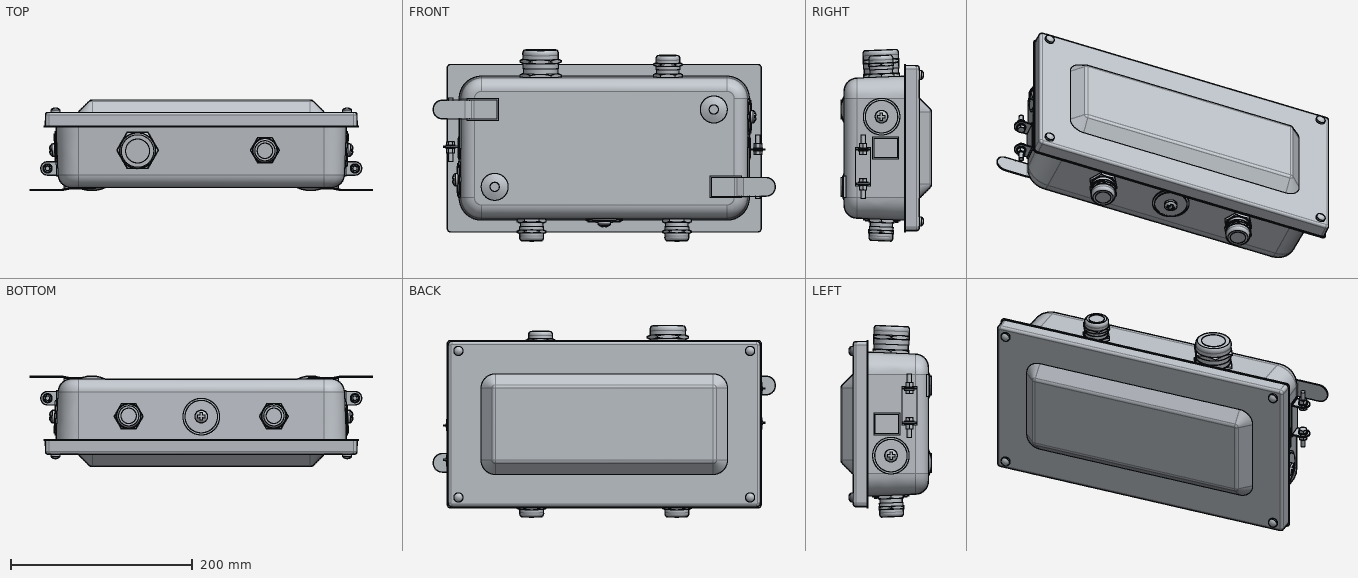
import cadquery as cq
import math

BODY_LENGTH = 319.7
BODY_HEIGHT = 158.7
BODY_DEPTH = 66.7
BODY_CORNER = 25.0
BODY_EDGE = 14.7
DRAFT = 2.3

LIP_LENGTH = 346.0
LIP_HEIGHT = 184.7
LIP_THICKNESS = 1.0
LIP_CORNER = 4.0
LIP_STEP = 1.0
LID_THICKNESS = 16.2
LID_EDGE = 3.0
RIM_DRAFT = 1.0
PANEL_LENGTH = 271.5
PANEL_HEIGHT = 111.0
PANEL_RISE = 13.5
PANEL_CORNER = 16.0
PANEL_SLOPE = 45.0
PANEL_EDGE = 5.3
LID_SCREW_X = 160.5
LID_SCREW_Z = 80.5
LID_SCREW_DIAMETER = 10.0
LID_SCREW_HEIGHT = 5.0
LID_SCREW_SHOULDER = 2.3

FOOT_X = 120.5
FOOT_Z = 42.5
FOOT_DIAMETER = 29.8
FOOT_HEIGHT = 3.5
FOOT_TIP_DIAMETER = 10.0
STRAP_Z = 42.5
STRAP_WIDTH = 20.7
STRAP_THICKNESS = 1.5
STRAP_END = 188.5
STRAP_BEND_OUTER = 153.5
STRAP_BEND_INNER = 144.8
STRAP_BEND_RADIUS = 11.3
STRAP_SET_OFF = 2.0
PAD_X = 134.0
PAD_LENGTH = 34.5
PAD_WIDTH = 23.8
PAD_THICKNESS = 0.8
PAD_SINK = 3.0

PORT_DEPTH = 25.3
BIG_GLAND_X = -70.0
SMALL_GLAND_X = 70.0
BOTTOM_GLAND_X = 80.0
GLAND_MOUTH_DEPTH = 0.5
BIG_GLAND = {
    "cap": 39.2,
    "neck": 38.0,
    "flats": 39.5,
    "rim": 36.0,
    "mouth": 26.5,
    "base_top": 3.8,
    "neck_top": 9.5,
    "nut_bottom": 15.0,
    "nut_top": 19.5,
    "shoulder": 24.0,
    "top": 29.8,
}
SMALL_GLAND = {
    "cap": 26.5,
    "neck": 25.0,
    "flats": 27.5,
    "rim": 22.2,
    "mouth": 17.0,
    "base_top": 3.8,
    "neck_top": 8.3,
    "nut_bottom": 12.0,
    "nut_top": 15.5,
    "shoulder": 19.0,
    "top": 23.8,
}
DRAIN_X = 0.0
DISC_Z = -34.5
DISC_DIAMETER = 40.5
DISC_STEP_DIAMETER = 36.0
DISC_HEIGHT = 2.5
HUB_DIAMETER = 14.0
HUB_HEIGHT = 6.0
HUB_SHOULDER = 2.5
SLOT_LENGTH = 8.3
SLOT_WIDTH = 3.0
SLOT_DEPTH = 2.0
PLATE_Z = 0.0
PLATE_DEPTH = 20.7
PLATE_ALONG_Y = 28.5
PLATE_ALONG_Z = 24.0
PLATE_STEP = 1.5
PLATE_LAYER = 0.8

BRACKET_DEPTH = 45.5
BRACKET_Z = 20.5
BRACKET_WIDTH = 16.5
BRACKET_LENGTH = 42.2
BRACKET_THICKNESS = 1.5
EAR_REACH = 177.0
EAR_WIDTH = 15.0
EAR_SPAN = 37.7
BOLT_DIAMETER = 5.0
BOLT_HEX = 8.0
BOLT_HEAD_HEIGHT = 3.8
NUT_HEIGHT = 5.0
BOLT_TAIL = 16.2
WASHER_DIAMETER = 10.0
WASHER_THICKNESS = 1.0

EMBED = 1.5
ROUND_MARGIN = 0.05

slope = math.tan(math.radians(DRAFT))
draft_sin = math.sin(math.radians(DRAFT))
draft_cos = math.cos(math.radians(DRAFT))


def half_turn(shape):
    """The same feature turned 180 degrees about the Y axis."""
    return shape.rotate((0, 0, 0), (0, 1, 0), 180)


def revolved(points):
    """Solid of revolution about Z from a closed (radius, height) outline."""
    return cq.Workplane("XZ").polyline(points).close().revolve(360, (0, 0), (0, 1))


def dome(diameter, height, base=0.0):
    """Round stub on Z, straight up to the base height and closed by a spherical cap."""
    radius = diameter / 2
    sphere = (radius**2 + height**2) / (2 * height)
    angle = math.asin(radius / sphere) / 2
    mid = (sphere * math.sin(angle), base + height - sphere * (1 - math.cos(angle)))
    return (
        cq.Workplane("XZ")
        .moveTo(0, -EMBED)
        .lineTo(radius, -EMBED)
        .lineTo(radius, base)
        .threePointArc(mid, (0, base + height))
        .close()
        .revolve(360, (0, 0), (0, 1))
    )


def on_top_wall(shape, x, depth):
    """Stand a feature built on Z upon the drafted top wall."""
    origin = (x, -depth, BODY_HEIGHT / 2 - depth * slope)
    plane = cq.Plane(origin, (1, 0, 0), (0, -draft_sin, draft_cos))
    return cq.Workplane(obj=shape.val().located(cq.Location(plane)))


def on_left_wall(shape, z, depth):
    """Stand a feature built on Z upon the drafted -X wall, its X axis along the part's Z."""
    origin = (-BODY_LENGTH / 2 + depth * slope, -depth, z)
    plane = cq.Plane(origin, (0, 0, 1), (-draft_cos, -draft_sin, 0))
    return cq.Workplane(obj=shape.val().located(cq.Location(plane)))


def on_plane_y(shape, x, y, z, direction):
    """Stand a feature built on Z upon a plane of constant Y, facing +Y or -Y."""
    plane = cq.Plane((x, y, z), (1, 0, 0), (0, direction, 0))
    return cq.Workplane(obj=shape.val().located(cq.Location(plane)))


def rounded_block(length, height, depth, corner, taper):
    """Rounded rectangle extruded along Z with drafted sides."""
    sketch = cq.Sketch().rect(length, height).vertices().fillet(corner)
    return cq.Workplane("XY").placeSketch(sketch).extrude(depth, taper=taper)


def make_body():
    tub = rounded_block(BODY_LENGTH, BODY_HEIGHT, BODY_DEPTH, BODY_CORNER, DRAFT)
    tub = tub.faces(">Z").edges().fillet(BODY_EDGE)
    return on_plane_y(tub, 0, 0, 0, -1)


def make_lid():
    lip = rounded_block(LIP_LENGTH, LIP_HEIGHT, LIP_THICKNESS, LIP_CORNER, 0)
    rim = rounded_block(
        LIP_LENGTH - 2 * LIP_STEP, LIP_HEIGHT - 2 * LIP_STEP, LID_THICKNESS, LIP_CORNER, RIM_DRAFT
    )
    rim = rim.faces(">Z").edges().fillet(LID_EDGE)
    panel = rounded_block(PANEL_LENGTH, PANEL_HEIGHT, PANEL_RISE, PANEL_CORNER, PANEL_SLOPE)
    panel = panel.faces(">Z").edges().fillet(PANEL_EDGE)
    lid = lip.union(rim).union(panel.translate((0, 0, LID_THICKNESS)))
    lid = on_plane_y(lid, 0, 0, 0, 1)
    screw = dome(LID_SCREW_DIAMETER, LID_SCREW_HEIGHT - LID_SCREW_SHOULDER, LID_SCREW_SHOULDER)
    for x in (-LID_SCREW_X, LID_SCREW_X):
        for z in (-LID_SCREW_Z, LID_SCREW_Z):
            lid = lid.union(on_plane_y(screw, x, LID_THICKNESS, z, 1))
    return lid


def chamfered_hex(flats, bottom, top):
    """Hexagon nut on Z, corners on X, its corner tips turned down at both ends."""
    corners = flats / math.cos(math.pi / 6)
    tip = corners - flats
    turn = tip / 2
    blank = cq.Workplane("XY").workplane(offset=bottom).polygon(6, corners).extrude(top - bottom)
    envelope = revolved(
        [
            (0, bottom),
            (flats / 2, bottom),
            (corners / 2, bottom + turn / 2),
            (corners / 2, top - turn / 2),
            (flats / 2, top),
            (0, top),
        ]
    )
    return blank.intersect(envelope)


def make_gland(
    cap, neck, flats, rim, mouth, base_top, neck_top, nut_bottom, nut_top, shoulder, top
):
    """Cable gland on Z: base nut, neck, clamping nut and a round-shouldered cap with a shallow mouth."""
    shoulder_mid = (
        rim / 2 + (cap - rim) / 2 * math.sin(math.pi / 4),
        shoulder + (top - shoulder) * math.sin(math.pi / 4),
    )
    barrel = (
        cq.Workplane("XZ")
        .moveTo(0, -EMBED)
        .lineTo(neck / 2, -EMBED)
        .lineTo(neck / 2, neck_top)
        .lineTo(cap / 2, neck_top)
        .lineTo(cap / 2, shoulder)
        .threePointArc(shoulder_mid, (rim / 2, top))
        .lineTo(mouth / 2, top)
        .lineTo(mouth / 2, top - GLAND_MOUTH_DEPTH)
        .lineTo(0, top - GLAND_MOUTH_DEPTH)
        .close()
        .revolve(360, (0, 0), (0, 1))
    )
    base_nut = chamfered_hex(flats, -EMBED, base_top)
    clamping_nut = chamfered_hex(flats, nut_bottom, nut_top)
    return barrel.union(base_nut).union(clamping_nut)


def make_glands():
    big = make_gland(**BIG_GLAND)
    small = make_gland(**SMALL_GLAND)
    glands = on_top_wall(big, BIG_GLAND_X, PORT_DEPTH)
    glands = glands.union(on_top_wall(small, SMALL_GLAND_X, PORT_DEPTH))
    for x in (-BOTTOM_GLAND_X, BOTTOM_GLAND_X):
        glands = glands.union(half_turn(on_top_wall(small, x, PORT_DEPTH)))
    return glands


def make_disc():
    """Stepped disc on Z with a domed hub that carries a cross recess."""
    step = DISC_HEIGHT / 2
    disc = cq.Workplane("XY").workplane(offset=-EMBED).circle(DISC_DIAMETER / 2).extrude(EMBED + step)
    disc = disc.union(cq.Workplane("XY").circle(DISC_STEP_DIAMETER / 2).extrude(DISC_HEIGHT))
    hub_top = DISC_HEIGHT + HUB_HEIGHT
    shoulder = DISC_HEIGHT + HUB_SHOULDER
    disc = disc.union(dome(HUB_DIAMETER, hub_top - shoulder, shoulder))
    cross = cq.Workplane("XY").workplane(offset=hub_top - SLOT_DEPTH)
    for angle in (0, 90):
        slot = cross.rect(SLOT_LENGTH, SLOT_WIDTH).extrude(SLOT_DEPTH)
        disc = disc.cut(slot.rotate((0, 0, 0), (0, 0, 1), angle))
    return disc


def make_plate():
    """Label plate on Z with a stepped border."""
    outer = cq.Workplane("XY").workplane(offset=-EMBED).rect(PLATE_ALONG_Z, PLATE_ALONG_Y)
    outer = outer.extrude(EMBED + PLATE_LAYER)
    inner = cq.Workplane("XY").rect(PLATE_ALONG_Z - 2 * PLATE_STEP, PLATE_ALONG_Y - 2 * PLATE_STEP)
    return outer.union(inner.extrude(2 * PLATE_LAYER))


def make_bolted_ear():
    """Horizontal ear reaching toward -X with a bolt hanging down through it; mid-plane at Z = 0."""
    root = -BODY_LENGTH / 2 + EMBED + BRACKET_DEPTH * slope
    bolt_x = -EAR_REACH + EAR_WIDTH / 2
    half = BRACKET_THICKNESS / 2
    ear = (
        cq.Workplane("XY")
        .moveTo(root, EAR_WIDTH / 2)
        .lineTo(bolt_x, EAR_WIDTH / 2)
        .threePointArc((-EAR_REACH, 0), (bolt_x, -EAR_WIDTH / 2))
        .lineTo(root, -EAR_WIDTH / 2)
        .close()
        .extrude(BRACKET_THICKNESS)
        .translate((0, 0, -half))
    )
    at_bolt = cq.Workplane("XY").center(bolt_x, 0)
    washer = at_bolt.workplane(offset=-half - WASHER_THICKNESS).circle(WASHER_DIAMETER / 2)
    washer = washer.extrude(2 * WASHER_THICKNESS + BRACKET_THICKNESS)
    seat = half + WASHER_THICKNESS
    head = chamfered_hex(BOLT_HEX, seat - EMBED, seat + BOLT_HEAD_HEIGHT).translate((bolt_x, 0, 0))
    nut = chamfered_hex(BOLT_HEX, -seat - NUT_HEIGHT, EMBED - seat).translate((bolt_x, 0, 0))
    shank = at_bolt.workplane(offset=-BOLT_TAIL).circle(BOLT_DIAMETER / 2).extrude(BOLT_TAIL)
    return ear.union(washer).union(head).union(nut).union(shank)


def make_bracket():
    back = cq.Workplane("XY").workplane(offset=-EMBED).rect(BRACKET_LENGTH, BRACKET_WIDTH)
    bracket = on_left_wall(back.extrude(EMBED + BRACKET_THICKNESS), BRACKET_Z, BRACKET_DEPTH)
    lower = make_bolted_ear()
    upper = lower.mirror("XY")
    for ear, side in ((lower, -1), (upper, 1)):
        bracket = bracket.union(ear.translate((0, -BRACKET_DEPTH, BRACKET_Z + side * EAR_SPAN / 2)))
    return bracket


def make_strap():
    """Flat strap with a round end, joggled away from the front face where it leaves its pad."""
    pad_x = -PAD_X
    pad = cq.Workplane("XY").box(PAD_LENGTH, PAD_SINK + PAD_THICKNESS, PAD_WIDTH)
    pad = pad.translate((pad_x, -BODY_DEPTH + (PAD_SINK - PAD_THICKNESS) / 2, STRAP_Z))
    inner = -BODY_DEPTH
    outer = inner - STRAP_SET_OFF
    start = pad_x + PAD_LENGTH / 2 - (PAD_WIDTH - STRAP_WIDTH) / 2
    strap = (
        cq.Workplane("XY")
        .moveTo(start, inner)
        .lineTo(-STRAP_BEND_INNER, inner)
        .lineTo(-STRAP_BEND_OUTER, outer)
        .lineTo(-STRAP_END, outer)
        .lineTo(-STRAP_END, outer - STRAP_THICKNESS)
        .lineTo(-STRAP_BEND_OUTER, outer - STRAP_THICKNESS)
        .lineTo(-STRAP_BEND_INNER, inner - STRAP_THICKNESS)
        .lineTo(start, inner - STRAP_THICKNESS)
        .close()
        .extrude(STRAP_WIDTH)
        .translate((0, 0, STRAP_Z - STRAP_WIDTH / 2))
    )
    bend = cq.Vector(-STRAP_BEND_INNER, inner - STRAP_THICKNESS, STRAP_Z)
    strap = strap.edges(cq.selectors.NearestToPointSelector(bend)).fillet(STRAP_BEND_RADIUS)
    strap = strap.edges("<X and |Y").fillet(STRAP_WIDTH / 2 - ROUND_MARGIN)
    return pad.union(strap)


def make_foot():
    """Shallow domed foot on Z with a flat tip."""
    foot = dome(FOOT_DIAMETER, FOOT_HEIGHT)
    tip = cq.Workplane("XY").circle(FOOT_TIP_DIAMETER / 2).extrude(FOOT_HEIGHT)
    return foot.union(tip)


result = make_body().union(make_lid()).union(make_glands())

disc = make_disc()
result = result.union(half_turn(on_top_wall(disc, DRAIN_X, PORT_DEPTH)))

left_side = [
    on_left_wall(disc, DISC_Z, PORT_DEPTH),
    on_left_wall(make_plate(), PLATE_Z, PLATE_DEPTH),
    make_bracket(),
    make_strap(),
    on_plane_y(make_foot(), -FOOT_X, -BODY_DEPTH, -FOOT_Z, -1),
]
for feature in left_side:
    result = result.union(feature).union(half_turn(feature))